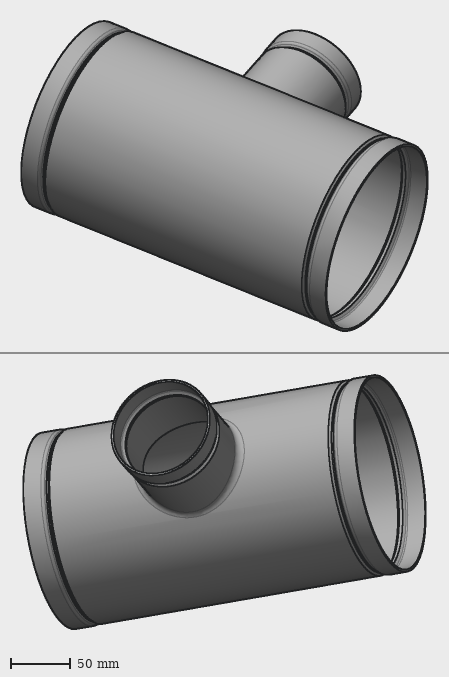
import cadquery as cq
import math

run_length = 298.7
overall_depth = 233.5
wall = 2.0

run_land = 168.2
run_floor = 163.0
run_pipe = 167.3
branch_land = 89.0
branch_floor = 83.0
branch_pipe = 87.8

land_length = 15.8
floor_end = 21.5
groove_side_angle = 45
land_edge_radius = 2 * wall
junction_fillet = 6.0

branch_reach = overall_depth - run_land / 2


def grooved_rod(length, land, floor, pipe, inset):
    """Solid along +Z from its open end at Z = 0, with every face moved in by inset."""
    land_radius = land / 2 - inset
    floor_radius = floor / 2 - inset
    pipe_radius = pipe / 2 - inset
    edge_radius = land_edge_radius - inset
    side_angle = math.radians(groove_side_angle)
    side_slope = math.tan(side_angle)

    def land_edge(angle):
        """Point on the rounded edge, at an angle from its start on the land."""
        turn = math.radians(angle)
        return (
            land_radius - edge_radius * (1 - math.cos(turn)),
            land_length + edge_radius * math.sin(turn),
        )

    edge_end_radius, edge_end_height = land_edge(groove_side_angle)
    floor_start_height = edge_end_height + (edge_end_radius - floor_radius) / side_slope
    floor_end_height = floor_end + inset * math.tan(side_angle / 2)
    pipe_start_height = floor_end_height + (pipe_radius - floor_radius) / side_slope
    return (
        cq.Workplane("XZ")
        .lineTo(land_radius, 0)
        .lineTo(land_radius, land_length)
        .threePointArc(land_edge(groove_side_angle / 2), land_edge(groove_side_angle))
        .lineTo(floor_radius, floor_start_height)
        .lineTo(floor_radius, floor_end_height)
        .lineTo(pipe_radius, pipe_start_height)
        .lineTo(pipe_radius, length)
        .lineTo(0, length)
        .close()
        .revolve(360, (0, 0, 0), (0, 1, 0))
    )


def run_rod(inset):
    """Full run: one grooved half and its mirror image."""
    half_length = run_length / 2
    half = (
        grooved_rod(half_length, run_land, run_floor, run_pipe, inset)
        .rotate((0, 0, 0), (0, 1, 0), 90)
        .translate((-half_length, 0, 0))
    )
    return half.union(half.mirror("YZ")).clean()


def branch_rod(inset):
    """Branch from its open end down to the run axis."""
    return (
        grooved_rod(branch_reach, branch_land, branch_floor, branch_pipe, inset)
        .rotate((0, 0, 0), (1, 0, 0), 90)
        .translate((0, branch_reach, 0))
    )


body = run_rod(0).union(branch_rod(0))

seam_zone = cq.selectors.BoxSelector(
    (-branch_land, run_pipe / 4, -branch_land),
    (branch_land, run_pipe / 2 + junction_fillet, branch_land),
    boundingbox=True,
)
body = body.edges(seam_zone).fillet(junction_fillet)

result = body.cut(run_rod(wall)).cut(branch_rod(wall))